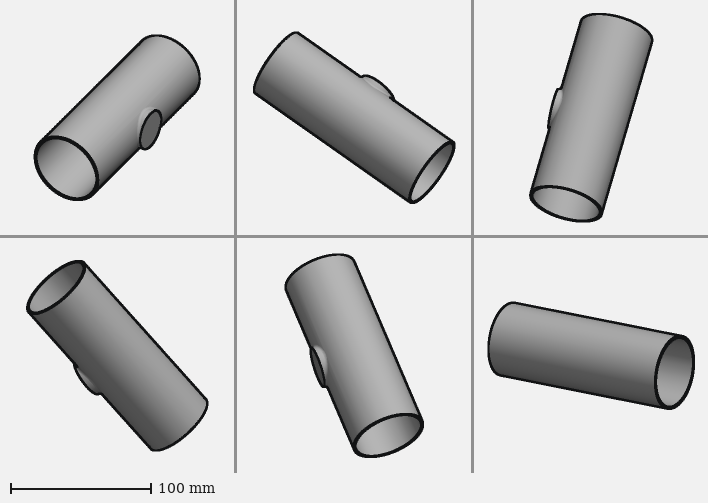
import cadquery as cq

tube_length = 140.0
tube_diameter = 53.0
bore_diameter = 50.0

overall_width = 54.5
boss_diameter = 29.1
boss_face_x = overall_width - tube_diameter / 2
weld_radius = 2.0
boss_blank_x = boss_face_x + 2 * weld_radius


def cylinder_along_y(diameter):
    return cq.Workplane("XZ").circle(diameter / 2).extrude(tube_length / 2, both=True)


def welded_boss_on_tube():
    boss = cq.Workplane("YZ").circle(boss_diameter / 2).extrude(boss_blank_x)
    body = cylinder_along_y(tube_diameter).union(boss)
    half_footprint = boss_diameter / 2 + weld_radius
    seam_selector = cq.selectors.BoxSelector(
        (0, -half_footprint, -half_footprint),
        (boss_face_x, half_footprint, half_footprint),
        boundingbox=True,
    )
    return body.edges(seam_selector).fillet(weld_radius)


def trim_beyond_boss_face(body):
    waste = cq.Workplane("YZ", origin=(boss_face_x, 0, 0)).rect(tube_length, tube_diameter)
    return body.cut(waste.extrude(boss_blank_x))


result = trim_beyond_boss_face(welded_boss_on_tube()).cut(cylinder_along_y(bore_diameter))